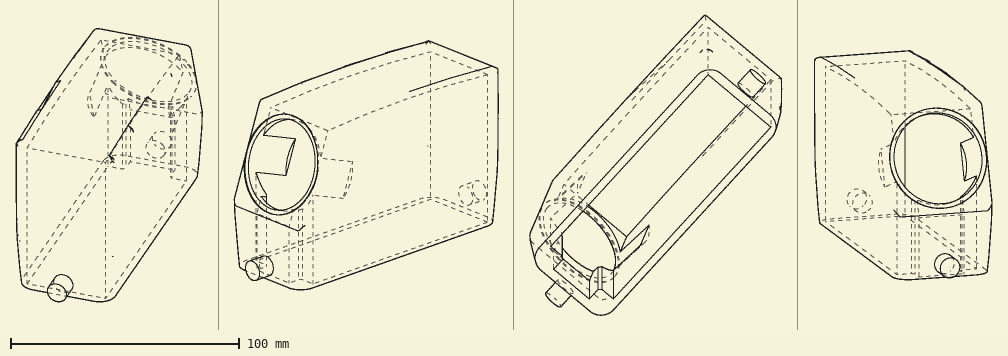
import cadquery as cq
import math

length = 119.7
width = 45.5
base_width = 43.2
lower_width = 44.5
crown_height = 75.8
lower_level = 7.0
waist_level = 23.4
middle_level = 42.2
blank_height = 78.9

base_radius = 7.3
lower_radius = 6.7
waist_radius = 4.0
middle_radius = 2.5
top_radius = 1.6

front_y = -length / 2
back_y = length / 2
end_draft = 1.1
kink_z = 28.4
slope_top_y = 42.8
slope_top_z = 74.0
crown_y = -1.4
front_top_z = 73.7

roof_fillet = 2.7
slope_fillet = 1.6

search_margin = 4.1

wall = 4.1
cavity_half_width = 18.2
post_front_y = 48.8
post_gap_half = 10.3
post_chamfer = 1.2
entry_diameter = 40.1
recess_diameter = 44.2
recess_depth = 0.5
entry_reach = 24.5
entry_overshoot = 4.1
entry_y = 51.0

pin_span = 136.0
pin_diameter = 9.0
pin_z = 6.1
pin_root = 2.7

kink_y = back_y - end_draft * kink_z / crown_height
front_top_y = front_y + end_draft * front_top_z / crown_height
slope_run = kink_y - slope_top_y
slope_rise = slope_top_z - kink_z
slope_angle = math.atan2(slope_rise, slope_run)
slope_length = math.hypot(slope_run, slope_rise)
slope_normal = cq.Vector(0, slope_rise / slope_length, slope_run / slope_length)


def section(z, section_width, radius):
    """Rounded rectangle at height z, shortened by the end draft."""
    section_length = length - 2 * end_draft * z / crown_height
    sketch = cq.Sketch().rect(section_width, section_length).vertices().fillet(radius)
    return sketch.moved(cq.Location(cq.Vector(0, 0, z)))


def loft(sections, ruled):
    return cq.Workplane("XY").placeSketch(*sections).loft(ruled=ruled)


def edges_near(body, low, high):
    """Edges whose centres lie between two YZ points."""
    return body.edges(cq.selectors.BoxSelector((-width, *low), (width, *high)))


def rounded_envelope():
    """Full-width side prism with rounded roof edges, which shapes the upper part of the body."""
    half = width / 2
    prism = (
        cq.Workplane("YZ")
        .moveTo(front_y, 0)
        .lineTo(back_y, 0)
        .lineTo(kink_y, kink_z)
        .lineTo(slope_top_y, slope_top_z)
        .threePointArc((crown_y, crown_height), (front_top_y, front_top_z))
        .close()
        .extrude(half, both=True)
    )
    crown_sides = edges_near(prism, (front_y / 2, slope_top_z), (slope_top_y / 2, crown_height))
    roof_front = edges_near(prism, (front_y, front_top_z - search_margin), (front_y / 2, crown_height))
    crown_front = roof_front.edges("|X")
    prism = prism.newObject(crown_sides.vals() + crown_front.vals()).fillet(roof_fillet)
    slope_middle_y = (kink_y + slope_top_y) / 2
    slope_middle_z = (kink_z + slope_top_z) / 2
    slope_sides = edges_near(
        prism,
        (slope_middle_y - search_margin, slope_middle_z - search_margin),
        (slope_middle_y + search_margin, slope_middle_z + search_margin),
    )
    return slope_sides.fillet(slope_fillet)


def outer_body():
    base = section(0, base_width, base_radius)
    lower = section(lower_level, lower_width, lower_radius)
    waist = section(waist_level, width, waist_radius)
    middle = section(middle_level, width, middle_radius)
    top = section(blank_height, width, top_radius)
    skirt = loft([base, lower, waist], True)
    upper = loft([waist, middle, top], False)
    return skirt.union(upper).intersect(rounded_envelope())


def cavity():
    """Open-bottomed space with two posts left standing at the back."""
    inner_front_y = front_y + wall
    inner_back_y = back_y - wall
    slope_inset_y = slope_top_y - wall * math.tan(slope_angle / 2)
    slope_foot_z = slope_top_z - wall - (inner_back_y - slope_inset_y) * math.tan(slope_angle)
    space = (
        cq.Workplane("YZ")
        .moveTo(inner_front_y, 0)
        .lineTo(inner_back_y, 0)
        .lineTo(inner_back_y, slope_foot_z)
        .lineTo(slope_inset_y, slope_top_z - wall)
        .threePointArc((crown_y, crown_height - wall), (inner_front_y, front_top_z - wall))
        .close()
        .extrude(cavity_half_width, both=True)
    )
    post_width = cavity_half_width - post_gap_half
    post_depth = back_y - post_front_y
    for side in (-1, 1):
        post = (
            cq.Workplane("XY")
            .center(side * (post_gap_half + post_width / 2), post_front_y + post_depth / 2)
            .rect(post_width, post_depth)
            .extrude(crown_height)
        )
        inner_edge = "<X" if side > 0 else ">X"
        post = post.faces(inner_edge).edges("<Y").chamfer(post_chamfer)
        space = space.cut(post)
    return space


def entry_bore():
    """Round cable entry through the slope with a shallow recess round its mouth."""
    mouth_z = slope_top_z - (entry_y - slope_top_y) * slope_rise / slope_run
    mouth = cq.Vector(0, entry_y, mouth_z)
    start = mouth + slope_normal * entry_overshoot
    inward = slope_normal * -1
    bore = cq.Solid.makeCylinder(entry_diameter / 2, entry_reach + entry_overshoot, start, inward)
    recess = cq.Solid.makeCylinder(recess_diameter / 2, recess_depth + entry_overshoot, start, inward)
    return cq.Workplane("XY").add(bore).union(cq.Workplane("XY").add(recess))


def pins():
    """Locking pin on each end wall."""
    pin_length = (pin_span - length) / 2 + pin_root
    both = cq.Workplane("XY")
    for side in (-1, 1):
        tip = cq.Vector(0, side * pin_span / 2, pin_z)
        pin = cq.Solid.makeCylinder(pin_diameter / 2, pin_length, tip, cq.Vector(0, -side, 0))
        both = both.add(pin)
    return both.combine()


result = outer_body().cut(cavity()).cut(entry_bore()).union(pins())